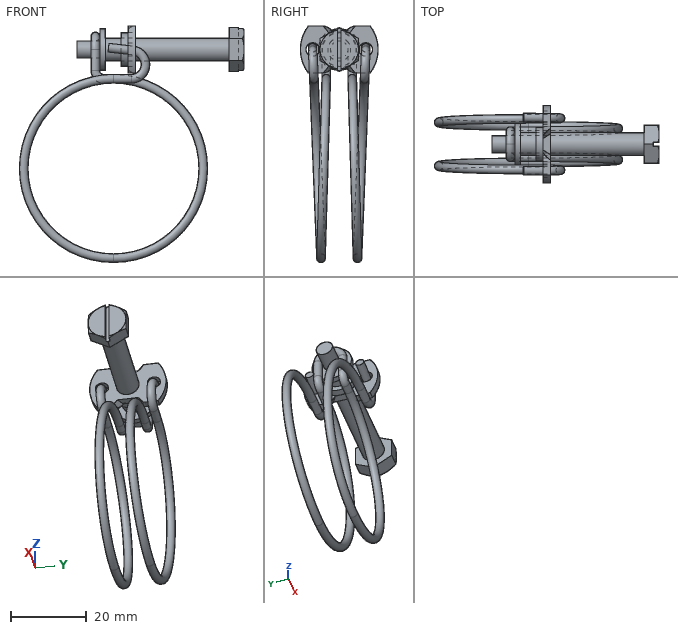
import cadquery as cq
import math


wire_r = 2.3 / 2
ring_r = 23.6
hook_y = 7.0
outer_y = 6.7
bottom_y = 4.8
inner_y = 3.4
bend_r = 2.1
hook_start_x = 4.7
hook_r = 3.75
hook_tilt = math.radians(6.5)
tail_end_x = -1.3

shaft_r = 6.05 / 2
tip_r = inner_y - wire_r
tip_x = -9.65
collar_x = -3.6
collar_thick = 1.5
collar_r = 5.5
head_x = 30.5
head_end_x = 34.4
head_flats = 10.1
head_corners = head_flats / math.cos(math.radians(30))
head_face_r = 5.05
head_chamfer = math.radians(30)
slot_wide = 1.0
slot_deep = 1.5

plate_x = 3.85
plate_thick = 2.0
plate_r = 20.5 / 2
plate_half_high = 6.25
boss_r = 4.4
boss_x = 2.0
wire_hole_r = 1.75
lug_y = 4.7
lug_round_r = 3.6
notch_z = boss_r
notch_flare = 1.25
flare_run = 1.45

overall_high = 62.35
axis_z = overall_high - ring_r - wire_r - plate_half_high

loop_x = collar_x - wire_r
overlap = 0.6


def x_cylinder(start, end, radius, y=0.0):
    """Cylinder along X at the height of the bolt."""
    plane = cq.Workplane("YZ", origin=(start, y, axis_z))
    return plane.circle(radius).extrude(end - start)


def coil_arc(start_y, end_y, start_z, side):
    """Half turn in a slightly tilted plane, from start_z to -start_z on the given X side."""
    half_drift = (end_y - start_y) / 2
    radius = math.hypot(ring_r, half_drift)
    start = cq.Vector(0, start_y, start_z)
    middle = cq.Vector(side * radius, start_y + half_drift, 0)
    end = cq.Vector(0, end_y, -start_z)
    return cq.Edge.makeThreePointArc(start, middle, end)


def arc_in_xz(center_x, center_z, y, radius, angles):
    """Arc through three angles, measured from +X towards +Z."""
    points = [
        cq.Vector(center_x + radius * math.cos(a), y, center_z + radius * math.sin(a))
        for a in angles
    ]
    return cq.Edge.makeThreePointArc(*points)


def make_half_wire():
    """Hook, coil and half of the loop over the bolt tip, on the +Y side."""
    hook_z = ring_r + hook_r
    hook_end_angle = math.pi / 2 - hook_tilt
    hook = arc_in_xz(hook_start_x, hook_z, outer_y, hook_r, (hook_end_angle, 0, -math.pi / 2))
    hook_lean = math.degrees(math.atan((hook_y - outer_y) / (2 * hook_r)))
    hook_foot = hook.endPoint()
    hook = hook.rotate(hook_foot, hook_foot + cq.Vector(0.6, 0, 0), -hook_lean)
    hook_end = hook.startPoint()
    tail_direction = hook.tangentAt(0)
    tail_end = hook_end + tail_direction * ((tail_end_x - hook_end.x) / tail_direction.x)

    bend_x = loop_x + bend_r
    bend_z = ring_r + bend_r
    bend = arc_in_xz(bend_x, bend_z, inner_y, bend_r, (-math.pi / 2, -3 * math.pi / 4, -math.pi))

    loop_start = cq.Vector(loop_x, inner_y, axis_z)
    loop_middle_offset = inner_y * math.sqrt(0.5)
    loop_middle = cq.Vector(loop_x, loop_middle_offset, axis_z + loop_middle_offset)
    loop_top = cq.Vector(loop_x, 0, axis_z + inner_y)

    coil_start = cq.Vector(0, outer_y, ring_r)
    coil_end = cq.Vector(0, inner_y, ring_r)
    path = cq.Wire.assembleEdges([
        cq.Edge.makeLine(tail_end, hook_end),
        hook,
        cq.Edge.makeLine(hook.endPoint(), coil_start),
        coil_arc(outer_y, bottom_y, ring_r, -1),
        coil_arc(bottom_y, inner_y, -ring_r, 1),
        cq.Edge.makeLine(coil_end, bend.startPoint()),
        bend,
        cq.Edge.makeLine(bend.endPoint(), loop_start),
        cq.Edge.makeThreePointArc(loop_start, loop_middle, loop_top),
    ])
    section = cq.Plane(origin=tail_end.toTuple(), normal=(hook_end - tail_end).toTuple())
    return cq.Workplane(section).circle(wire_r).sweep(cq.Workplane(path))


def make_wire():
    half = make_half_wire()
    return half.union(half.mirror("XZ"))


def make_bolt():
    collar_end = collar_x + collar_thick
    head = (
        cq.Workplane("YZ", origin=(head_x, 0, axis_z))
        .polygon(6, head_corners)
        .extrude(head_end_x - head_x)
        .rotate((0, 0, axis_z), (1, 0, axis_z), 90)
    )
    head_length = head_end_x - head_x
    cone_base_r = head_face_r + head_length / math.tan(head_chamfer)
    cone = cq.Workplane(cq.Solid.makeCone(
        cone_base_r, head_face_r, head_length, cq.Vector(head_x, 0, axis_z), cq.Vector(1, 0, 0)
    ))
    slot = cq.Workplane("XY", origin=(head_end_x, 0, axis_z)).box(
        2 * slot_deep, slot_wide, head_corners + overlap
    )
    return (
        x_cylinder(tip_x, collar_x, tip_r)
        .union(x_cylinder(collar_x, collar_end, collar_r))
        .union(x_cylinder(collar_end, head_x, shaft_r))
        .union(head.intersect(cone).cut(slot))
    )


def make_notch():
    """Cutter for the notch between the two upper lugs, mirrored for the lower ones, with rounded and flared sides."""
    round_z = plate_half_high - lug_round_r
    floor_y = lug_y - math.sqrt(lug_round_r**2 - (notch_z - round_z) ** 2)
    floor_angle = math.asin((notch_z - round_z) / lug_round_r)
    middle_angle = (floor_angle + math.pi / 2) / 2
    middle_y = lug_y - lug_round_r * math.cos(middle_angle)
    middle_z = round_z + lug_round_r * math.sin(middle_angle)
    face = cq.Workplane("YZ", origin=(plate_x, 0, axis_z))
    rounded = (
        face.moveTo(-floor_y, notch_z)
        .lineTo(floor_y, notch_z)
        .threePointArc((middle_y, middle_z), (lug_y, plate_half_high))
        .lineTo(lug_y, plate_half_high + overlap)
        .lineTo(-lug_y, plate_half_high + overlap)
        .lineTo(-lug_y, plate_half_high)
        .threePointArc((-middle_y, middle_z), (-floor_y, notch_z))
        .close()
        .extrude(plate_thick)
    )

    def flank_outline(half_floor):
        half_top = half_floor + flare_run
        return [
            (-half_floor, notch_z),
            (half_floor, notch_z),
            (half_top, plate_half_high),
            (-half_top, plate_half_high),
        ]

    flared = (
        face.polyline(flank_outline(floor_y)).close()
        .workplane(offset=plate_thick)
        .polyline(flank_outline(floor_y + notch_flare)).close()
        .loft(ruled=True)
    )
    return rounded.union(flared)


def make_bridge():
    plate_end = plate_x + plate_thick
    flats = cq.Workplane("XY", origin=((plate_x + plate_end) / 2, 0, axis_z)).box(
        plate_thick, 2 * plate_r, 2 * plate_half_high
    )
    bridge = x_cylinder(plate_x, plate_end, plate_r).intersect(flats)
    notch = make_notch()
    bridge = bridge.cut(notch).cut(notch.mirror("XY", (0, 0, axis_z)))
    bridge = bridge.union(x_cylinder(boss_x, plate_x, boss_r))
    bridge = bridge.cut(x_cylinder(boss_x, plate_end, shaft_r))
    for side in (-1, 1):
        bridge = bridge.cut(x_cylinder(plate_x, plate_end, wire_hole_r, side * hook_y))
    return bridge


wire = make_wire()
bolt = make_bolt()
bridge = make_bridge()

result = cq.Compound.makeCompound([body.solids().val() for body in (wire, bolt, bridge)])